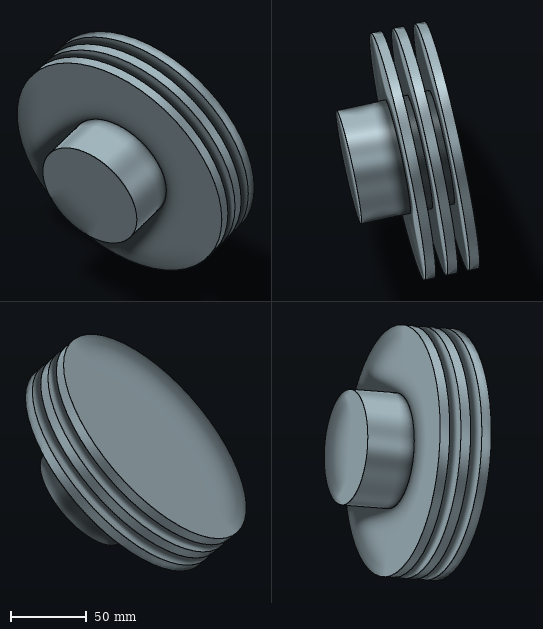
import cadquery as cq

disc_diameter = 167.7
hub_diameter = 77.0
total_length = 70.0
disc_thickness = 6.9
disc_pitch = 15.0
disc_count = 3


def cylinder_from_back(diameter, length, back_offset):
    """Solid cylinder whose rear face lies back_offset in front of Y = 0."""
    return (
        cq.Workplane("XZ", origin=(0, -back_offset, 0))
        .circle(diameter / 2)
        .extrude(length)
    )


result = cylinder_from_back(hub_diameter, total_length, 0)

for index in range(disc_count):
    disc = cylinder_from_back(disc_diameter, disc_thickness, index * disc_pitch)
    result = result.union(disc)